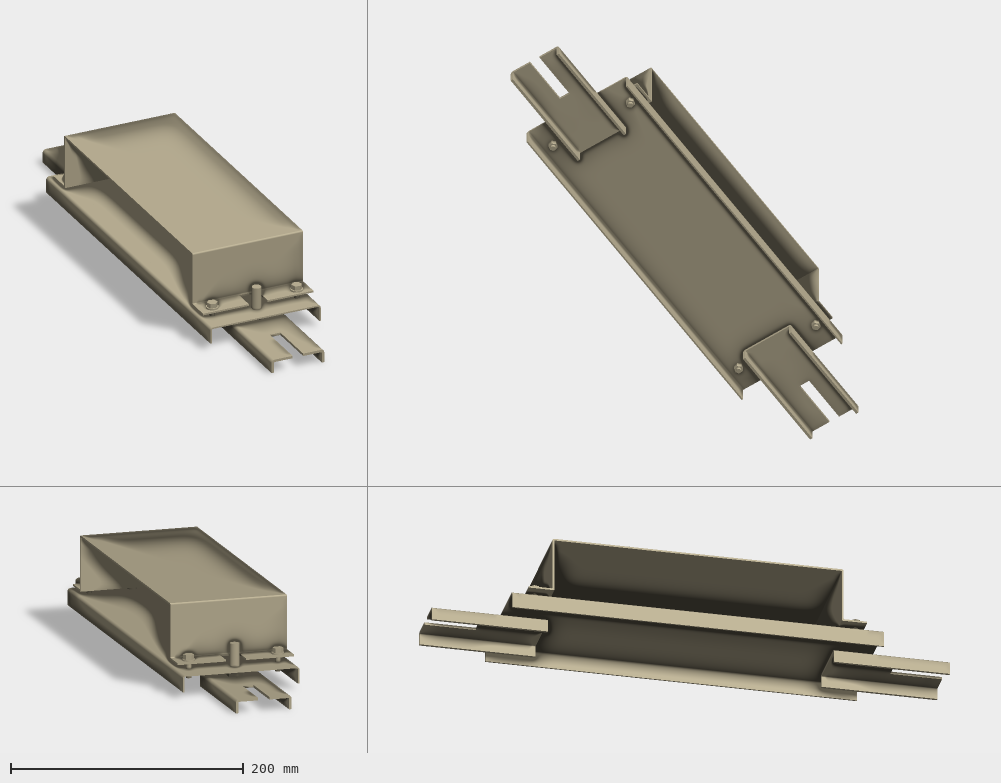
import cadquery as cq
import math

total_length = 456.0
total_width = 105.0
total_height = 75.5

rail_length = 102.0
rail_width = 50.0
rail_height = 12.5
rail_thickness = 2.5
rail_bend_radius = 2.95
rail_slot_length = 45.5
rail_slot_width = 10.0

tray_length = 327.5
tray_height = 15.0
tray_bottom = 5.5
tray_thickness = 1.5
tray_bend_radius = 2.7
tray_top = tray_bottom + tray_height
tray_underside = tray_top - tray_thickness

cover_length = 297.8
cover_box_length = 256.5
cover_height = 49.5
cover_thickness = 1.6
cover_bend_radius = 1.5
flange_bend_radius = 1.0
notch_width = 18.0
notch_depth = 19.0
cover_bottom = total_height - cover_height
flange_top = cover_bottom + cover_thickness

screw_x = 141.5
screw_y = 40.0
screw_diameter = 4.5
screw_tip = 12.5
screw_hex_turn = 15
screw_washer_diameter = 11.0
screw_washer_thickness = 1.5
screw_head_flats = 8.0
screw_head_height = 4.0
nut_collar_diameter = 10.0
nut_flats = 7.0
nut_height = 4.5

stud_x = 145.5
stud_diameter = 8.0
stud_top = 41.0
collar_flats = 12.8
collar_height = 4.0


def cylinder(x, y, bottom, top, diameter):
    """Upright cylinder between two heights."""
    return cq.Workplane("XY", origin=(x, y, bottom)).circle(diameter / 2).extrude(top - bottom)


def hexagon(x, y, bottom, height, flats, turn=0):
    """Upright hexagonal prism with one corner turned away from +X by the given degrees."""
    corner_diameter = flats / math.cos(math.pi / 6)
    prism = cq.Workplane("XY").polygon(6, corner_diameter).extrude(height)
    return prism.rotate((0, 0, 0), (0, 0, 1), turn).translate((x, y, bottom))


def channel(length, width, height, bottom, thickness, bend_radius):
    """Channel along X, centred on the origin in X and Y, open downwards, with rounded bends."""
    top_centre = bottom + height / 2
    outer = cq.Workplane("XY").box(length, width, height).translate((0, 0, top_centre))
    outer = outer.edges("|X and >Z").fillet(bend_radius)
    inner = cq.Workplane("XY").box(length, width - 2 * thickness, height)
    inner = inner.translate((0, 0, top_centre - thickness))
    inner = inner.edges("|X and >Z").fillet(bend_radius - thickness)
    return outer.cut(inner)


def make_rail(side):
    """Slotted rail at the end of the part given by side (-1 or 1)."""
    rail = channel(rail_length, rail_width, rail_height, 0, rail_thickness, rail_bend_radius)
    slot_centre = side * (rail_length - rail_slot_length) / 2
    slot = cq.Workplane("XY").center(slot_centre, 0).rect(rail_slot_length, rail_slot_width)
    rail = rail.cut(slot.extrude(rail_height))
    return rail.translate((side * (total_length - rail_length) / 2, 0, 0))


def make_tray():
    """Base tray with close-fitting holes for the nut collars and the studs."""
    tray = channel(tray_length, total_width, tray_height, tray_bottom, tray_thickness, tray_bend_radius)
    for x, y in screw_places:
        tray = tray.cut(cylinder(x, y, tray_underside, tray_top, nut_collar_diameter))
    for x in stud_places:
        tray = tray.cut(cylinder(x, 0, tray_underside, tray_top, stud_diameter))
    return tray


def make_cover():
    """Hat-shaped cover with end flanges, screw holes and a notch around each stud."""
    outer_x = cover_box_length / 2
    inner_x = outer_x - cover_thickness
    flange_x = cover_length / 2
    ceiling = total_height - cover_thickness
    right_half = [
        (inner_x, ceiling),
        (inner_x, cover_bottom),
        (flange_x, cover_bottom),
        (flange_x, flange_top),
        (outer_x, flange_top),
        (outer_x, total_height),
    ]
    left_half = [(-x, z) for x, z in reversed(right_half)]
    profile = cq.Workplane("XZ").polyline(right_half + left_half).close()
    cover = profile.extrude(total_width / 2, both=True)
    cover = cover.faces(">Z").edges("|Y").fillet(cover_bend_radius)
    for side in sides:
        inside_corner = cq.selectors.NearestToPointSelector((side * outer_x, 0, flange_top))
        cover = cover.edges("|Y").edges(inside_corner).fillet(flange_bend_radius)
        notch = cq.Workplane("XY").center(side * (flange_x - notch_depth / 2), 0)
        cover = cover.cut(notch.rect(notch_depth, notch_width).extrude(total_height))
    for x, y in screw_places:
        cover = cover.cut(cylinder(x, y, cover_bottom, flange_top, screw_diameter))
    return cover


def make_screw(x, y):
    """Screw and nut as one piece: head and washer on the cover flange, collar flush with the tray top."""
    washer_top = flange_top + screw_washer_thickness
    nut_bottom = tray_underside - nut_height
    screw = cylinder(x, y, screw_tip, washer_top, screw_diameter)
    screw = screw.union(cylinder(x, y, flange_top, washer_top, screw_washer_diameter))
    screw = screw.union(hexagon(x, y, washer_top, screw_head_height, screw_head_flats, screw_hex_turn))
    screw = screw.union(cylinder(x, y, tray_underside, tray_top, nut_collar_diameter))
    return screw.union(hexagon(x, y, nut_bottom, nut_height, nut_flats, screw_hex_turn))


def make_stud(x):
    """Round stud with its hex collar standing on the rail."""
    stud = cylinder(x, 0, rail_height, stud_top, stud_diameter)
    return stud.union(hexagon(x, 0, rail_height, collar_height, collar_flats))


sides = (-1, 1)
screw_places = [(i * screw_x, j * screw_y) for i in sides for j in sides]
stud_places = [i * stud_x for i in sides]

rails = [make_rail(side).val() for side in sides]
tray = make_tray()
cover = make_cover()
screws = [make_screw(x, y).val() for x, y in screw_places]
studs = [make_stud(x).val() for x in stud_places]

result = cq.Compound.makeCompound([*rails, tray.val(), cover.val(), *screws, *studs])